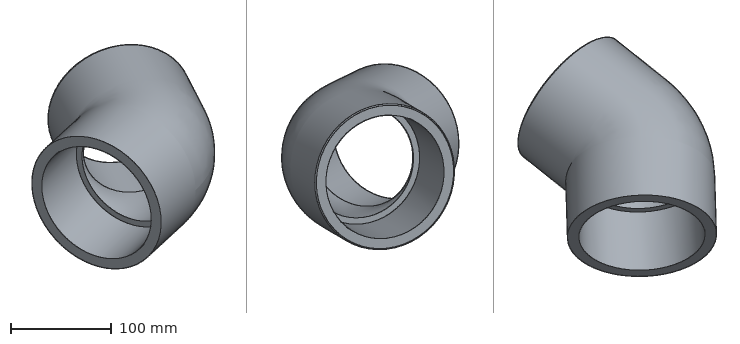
import cadquery as cq
import math

outer_diameter = 148.0
socket_diameter = 125.0
bore_diameter = 112.2
leg_length = 68.9
bend_radius = 68.0
bend_angle = 45.0
rim_setback = 1.0
rim_inset = 1.3

outer_radius = outer_diameter / 2
bend = math.radians(bend_angle)

pivot = (leg_length, -bend_radius)
outlet_start = (
    pivot[0] + bend_radius * math.sin(bend),
    pivot[1] + bend_radius * math.cos(bend),
)
inlet_plane = cq.Plane((0, 0, 0), xDir=(0, 1, 0), normal=(1, 0, 0))
bend_plane = cq.Plane((leg_length, 0, 0), xDir=(0, 1, 0), normal=(1, 0, 0))
outlet_plane = cq.Plane(
    (*outlet_start, 0),
    xDir=(0, 0, 1),
    normal=(math.cos(bend), -math.sin(bend), 0),
)


def leg(plane, diameter):
    """Straight cylinder one leg long."""
    return cq.Workplane(plane).circle(diameter / 2).extrude(leg_length)


def revolve_bend(profile):
    """Turn a profile on the bend plane about the vertical line through the pivot."""
    return profile.revolve(bend_angle, (-bend_radius, 2.2, 0), (-bend_radius, 0, 0))


def outer_bend():
    """Bend with its circular section cut off flat at the pivot, where it would cross itself."""
    half_chord = math.sqrt(outer_radius**2 - bend_radius**2)
    profile = (
        cq.Workplane(bend_plane)
        .moveTo(-bend_radius, -half_chord)
        .threePointArc((0, -outer_radius), (outer_radius, 0))
        .threePointArc((0, outer_radius), (-bend_radius, half_chord))
        .close()
    )
    return revolve_bend(profile)


def bore_bend():
    return revolve_bend(cq.Workplane(bend_plane).circle(bore_diameter / 2))


inlet = leg(inlet_plane, outer_diameter).faces("<X").edges()
inlet = inlet.chamfer(rim_setback, rim_inset)
body = inlet.union(outer_bend()).union(leg(outlet_plane, outer_diameter))

result = (
    body.cut(bore_bend())
    .cut(leg(inlet_plane, socket_diameter))
    .cut(leg(outlet_plane, socket_diameter))
)